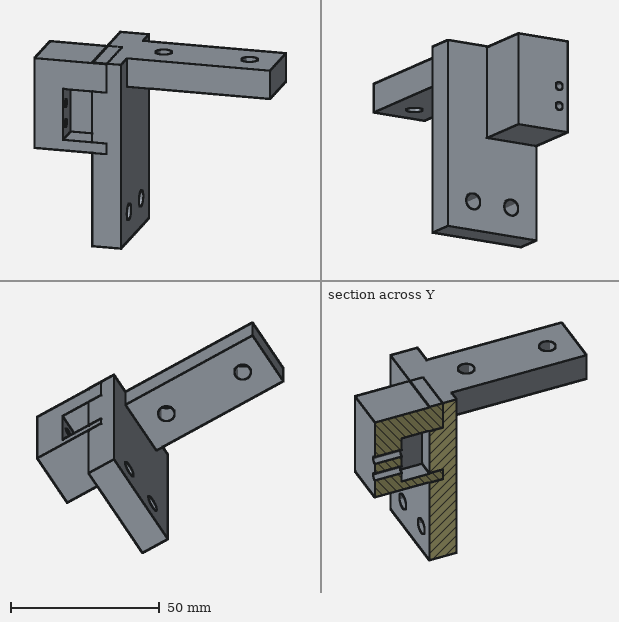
import cadquery as cq

thickness = 10.0
plate_width = 35.0
plate_height = 65.0
arm_length = 50.0
arm_width = 20.1
bolt_diameter = 5.5
plate_hole_spacing = 15.0
plate_hole_height = 10.0
first_arm_hole = 10.0
arm_hole_spacing = 30.0

overall_length = 80.2
block_width = 19.5
block_height = 31.8
top_skin = 0.25
embed_depth = 5.0
pocket_depth = 9.5
back_thickness = 10.0
upper_leg_height = 10.0
lower_leg_height = 3.8
pin_hole_diameter = 2.7
pin_hole_inset = 3.45
lower_pin_hole_height = 8.7
pin_hole_spacing = 7.0

front_y = -plate_width / 2
block_reach = overall_length - thickness - arm_length
block_length = block_reach + embed_depth
block_top = plate_height - top_skin
block_bottom = block_top - block_height


def corner_box(length, width, height, corner):
    """Box whose lowest-coordinate corner is at the given point."""
    return cq.Workplane("XY").box(length, width, height, centered=False).translate(corner)


def make_block():
    """C-shaped block with a pocket in its front side and two pin holes into the pocket."""
    body = corner_box(block_length, block_width, block_height, (-block_reach, front_y, block_bottom))
    pocket = corner_box(
        block_length - back_thickness,
        pocket_depth,
        block_height - upper_leg_height - lower_leg_height,
        (back_thickness - block_reach, front_y, block_bottom + lower_leg_height),
    )
    lower_hole = block_bottom + lower_pin_hole_height
    pin_holes = (
        cq.Workplane("YZ", origin=(-block_reach, 0, 0))
        .pushPoints([(front_y + pin_hole_inset, lower_hole + i * pin_hole_spacing) for i in range(2)])
        .circle(pin_hole_diameter / 2)
        .extrude(back_thickness)
    )
    return body.cut(pocket).cut(pin_holes)


def make_bracket(block):
    """Plate and arm with bolt holes and a recess that matches the embedded part of the block."""
    plate = corner_box(thickness, plate_width, plate_height, (0, front_y, 0))
    arm = corner_box(arm_length, arm_width, thickness, (thickness, -arm_width / 2, plate_height - thickness))
    plate_holes = (
        cq.Workplane("YZ")
        .pushPoints([(side * plate_hole_spacing / 2, plate_hole_height) for side in (-1, 1)])
        .circle(bolt_diameter / 2)
        .extrude(thickness)
    )
    arm_holes = (
        cq.Workplane("XY", origin=(thickness, 0, plate_height - thickness))
        .pushPoints([(first_arm_hole + i * arm_hole_spacing, 0) for i in range(2)])
        .circle(bolt_diameter / 2)
        .extrude(thickness)
    )
    return plate.union(arm).cut(plate_holes).cut(arm_holes).cut(block)


block = make_block()
bracket = make_bracket(block)

result = cq.Compound.makeCompound([bracket.val(), block.val()])